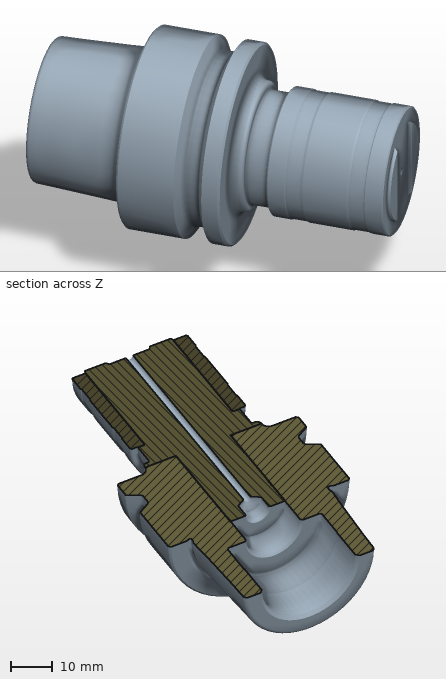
import cadquery as cq
import math


overall_length = 89.9
shank_length = 24.8
flange_width = 26.0
front_x = -shank_length
end_x = front_x + overall_length
lug_height = 0.8
sleeve_end_x = end_x - lug_height
sleeve_length = 29.2
sleeve_start_x = sleeve_end_x - sleeve_length
flange_root_fillet = 2.0
collar_start_x = flange_width + flange_root_fillet
collar_width = 1.2
collar_end_x = collar_start_x + collar_width

taper_large_radius = 19.1
taper_ratio = 1 / 20
taper_end_x = -1.9
shank_nose_fillet = 0.95
taper_front_radius = taper_large_radius - taper_ratio * (taper_end_x - front_x)
land_end_x = -1.15
neck_relief_radius = 18.85
neck_relief_x = -0.85
face_recess_radius = 20.2
face_recess_floor_radius = 19.6
face_recess_depth = 0.3

flange_radius = 25.0
flange_chamfer = 0.5
groove_center_x = 18.0
groove_half_width = 3.5
groove_floor_radius = 21.5
groove_flank_angle = 60.0
groove_fillet = 1.0

bore_radius = 12.85
bore_mouth_chamfer = 0.8
bore_length = 9.8
bore_relief = 0.1
bore_relief_radius = bore_radius + bore_relief
bore_depth = 17.75
bore_corner_fillet = 0.6
seat_radius = 7.45
seat_chamfer = 0.5
stem_recess = 8.0
bore_floor_x = front_x + bore_depth

collar_radius = 16.1
collar_fillet = 1.1
neck_radius = 14.1
neck_fillet = 0.5
journal_radius = 12.2
lug_tip_radius = 11.9
slot_base_half_width = 5.5
slot_tip_half_width = 6.07
stem_face_x = bore_floor_x + stem_recess
feed_radius = 3.15
feed_chamfer = 0.25
feed_depth = 4.0
drill_half_angle = 59.0
through_radius = 0.95

sleeve_radius = 15.95
sleeve_chamfer = 0.3
band_depth = 0.2
band_offset = 4.5
band_width = 4.6
band_outer_bevel = 0.27
band_inner_bevel = 0.55

arc_mid_ratio = 1 - math.sqrt(0.5)


def revolve_x(outline):
    """Turn an outline drawn as (x, radius) about the X axis."""
    return outline.close().revolve(360, (0, 0, 0), (1, 0, 0))


def make_holder():
    groove_run = (flange_radius - groove_floor_radius) / math.tan(math.radians(groove_flank_angle))
    floor_half_width = groove_half_width - groove_run

    turn = math.radians(groove_flank_angle)
    tangent = groove_fillet * math.tan(turn / 2)
    fillet_center_radius = groove_floor_radius + groove_fillet
    fillet_center = floor_half_width - tangent

    def groove_point(side, angle):
        """Point on a floor fillet, at an angle from its tangent point on the floor."""
        offset = fillet_center + groove_fillet * math.sin(angle)
        return groove_center_x + side * offset, fillet_center_radius - groove_fillet * math.cos(angle)

    nose_mid = shank_nose_fillet * arc_mid_ratio
    corner_mid = bore_corner_fillet * arc_mid_ratio
    root_mid = flange_root_fillet * arc_mid_ratio
    corner_x = bore_floor_x - bore_corner_fillet

    outline = (
        cq.Workplane("XZ")
        .moveTo(front_x, bore_radius + bore_mouth_chamfer)
        .lineTo(front_x, taper_front_radius - shank_nose_fillet)
        .threePointArc(
            (front_x + nose_mid, taper_front_radius - nose_mid),
            (front_x + shank_nose_fillet, taper_front_radius + taper_ratio * shank_nose_fillet),
        )
        .lineTo(taper_end_x, taper_large_radius)
        .lineTo(land_end_x, taper_large_radius)
        .lineTo(neck_relief_x, neck_relief_radius)
        .lineTo(face_recess_depth, neck_relief_radius)
        .lineTo(face_recess_depth, face_recess_floor_radius)
        .lineTo(0, face_recess_radius)
        .lineTo(0, flange_radius - flange_chamfer)
        .lineTo(flange_chamfer, flange_radius)
        .lineTo(groove_center_x - groove_half_width, flange_radius)
        .lineTo(*groove_point(-1, turn))
        .threePointArc(groove_point(-1, turn / 2), groove_point(-1, 0))
        .lineTo(*groove_point(1, 0))
        .threePointArc(groove_point(1, turn / 2), groove_point(1, turn))
        .lineTo(groove_center_x + groove_half_width, flange_radius)
        .lineTo(flange_width - flange_chamfer, flange_radius)
        .lineTo(flange_width, flange_radius - flange_chamfer)
        .lineTo(flange_width, collar_radius + flange_root_fillet)
        .threePointArc(
            (flange_width + root_mid, collar_radius + root_mid),
            (collar_start_x, collar_radius),
        )
        .lineTo(collar_start_x, seat_radius)
        .lineTo(bore_floor_x + seat_chamfer, seat_radius)
        .lineTo(bore_floor_x, seat_radius + seat_chamfer)
        .lineTo(bore_floor_x, bore_relief_radius - bore_corner_fillet)
        .threePointArc(
            (bore_floor_x - corner_mid, bore_relief_radius - corner_mid),
            (corner_x, bore_relief_radius),
        )
        .lineTo(front_x + bore_length, bore_relief_radius)
        .lineTo(front_x + bore_length, bore_radius)
        .lineTo(front_x + bore_mouth_chamfer, bore_radius)
    )
    return revolve_x(outline)


def make_spindle():
    collar_mid = collar_fillet * arc_mid_ratio
    neck_mid = neck_fillet * arc_mid_ratio
    feed_end_x = stem_face_x + feed_depth
    drill_tip_length = (feed_radius - through_radius) / math.tan(math.radians(drill_half_angle))

    outline = (
        cq.Workplane("XY")
        .moveTo(stem_face_x, feed_radius + feed_chamfer)
        .lineTo(stem_face_x, seat_radius)
        .lineTo(collar_start_x, seat_radius)
        .lineTo(collar_start_x, collar_radius)
        .lineTo(collar_end_x - collar_fillet, collar_radius)
        .threePointArc(
            (collar_end_x - collar_mid, collar_radius - collar_mid),
            (collar_end_x, collar_radius - collar_fillet),
        )
        .lineTo(collar_end_x, neck_radius + neck_fillet)
        .threePointArc(
            (collar_end_x + neck_mid, neck_radius + neck_mid),
            (collar_end_x + neck_fillet, neck_radius),
        )
        .lineTo(sleeve_start_x, neck_radius)
        .lineTo(sleeve_start_x, journal_radius)
        .lineTo(sleeve_end_x, journal_radius)
        .lineTo(end_x, lug_tip_radius)
        .lineTo(end_x, through_radius)
        .lineTo(feed_end_x + drill_tip_length, through_radius)
        .lineTo(feed_end_x, feed_radius)
        .lineTo(stem_face_x + feed_chamfer, feed_radius)
    )
    slot = (
        cq.Workplane("XY")
        .polyline([
            (sleeve_end_x, -slot_base_half_width),
            (end_x, -slot_tip_half_width),
            (end_x, slot_tip_half_width),
            (sleeve_end_x, slot_base_half_width),
        ])
        .close()
        .extrude(journal_radius, both=True)
    )
    return revolve_x(outline).cut(slot)


def make_sleeve():
    def band_outline(side):
        """Corners of a shallow band groove, listed from the sleeve end inwards."""
        end = sleeve_start_x if side > 0 else sleeve_end_x
        start = end + side * band_offset
        stop = start + side * band_width
        floor = sleeve_radius - band_depth
        return [
            (start, sleeve_radius),
            (start + side * band_outer_bevel, floor),
            (stop - side * band_inner_bevel, floor),
            (stop, sleeve_radius),
        ]

    points = [
        (sleeve_start_x, journal_radius),
        (sleeve_start_x, sleeve_radius - sleeve_chamfer),
        (sleeve_start_x + sleeve_chamfer, sleeve_radius),
        *band_outline(1),
        *reversed(band_outline(-1)),
        (sleeve_end_x - sleeve_chamfer, sleeve_radius),
        (sleeve_end_x, sleeve_radius - sleeve_chamfer),
        (sleeve_end_x, journal_radius),
    ]
    return revolve_x(cq.Workplane("XY").polyline(points))


holder = make_holder()
spindle = make_spindle()
sleeve = make_sleeve()

result = cq.Compound.makeCompound([holder.val(), spindle.val(), sleeve.val()])